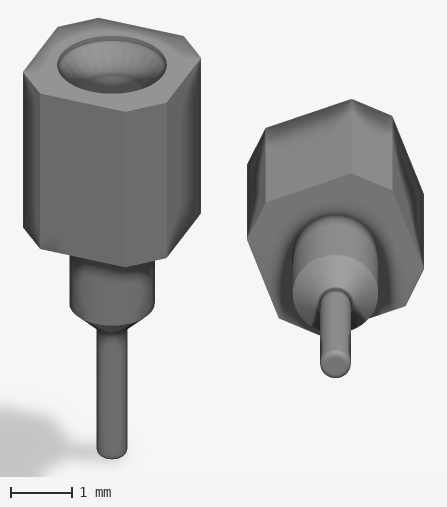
import cadquery as cq

total_height = 7.5
body_width = 2.54
body_height = 3
corner_cut = 0.52

collar_diameter = 1.4
collar_length = 1.6
taper_length = 0.405
taper_end_diameter = 0.6
pin_diameter = 0.5
tip_rounding = 0.1

mouth_diameter = 1.8
floor_diameter = 1.0
lip_depth = 0.1
funnel_depth = (mouth_diameter - floor_diameter) / 2

body_bottom = total_height - body_height
taper_top = body_bottom - collar_length
taper_bottom = taper_top - taper_length


def make_body():
    """Square block with its four upright edges cut off."""
    block = cq.Workplane("XY").workplane(offset=body_bottom).rect(body_width, body_width).extrude(body_height)
    return block.edges("|Z").chamfer(corner_cut)


def revolve_profile(points):
    """Turn an outline of (radius, height) points around the Z axis."""
    return cq.Workplane("XZ").polyline(points).close().revolve(360, (0, 0, 0), (0, 1, 0))


def make_stem():
    """Collar, taper and round-tipped pin, turned as one piece."""
    pin_radius = pin_diameter / 2
    stem = revolve_profile([
        (0, 0),
        (pin_radius, 0),
        (pin_radius, taper_bottom),
        (taper_end_diameter / 2, taper_bottom),
        (collar_diameter / 2, taper_top),
        (collar_diameter / 2, body_bottom),
        (0, body_bottom),
    ])
    return stem.faces("<Z").edges().fillet(tip_rounding)


def make_funnel():
    """Pocket with a short straight lip, a conical wall and a flat floor."""
    lip_bottom = total_height - lip_depth
    floor_level = lip_bottom - funnel_depth
    return revolve_profile([
        (0, floor_level),
        (floor_diameter / 2, floor_level),
        (mouth_diameter / 2, lip_bottom),
        (mouth_diameter / 2, total_height),
        (0, total_height),
    ])


result = make_body().union(make_stem()).cut(make_funnel())